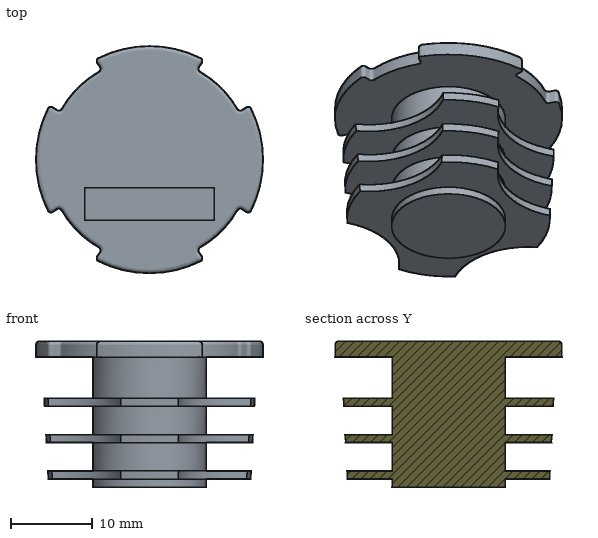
import cadquery as cq
import math

cap_diameter = 28.0
total_height = 18.0

cap_thickness = 2.0
cap_radius = cap_diameter / 2
cap_bottom = total_height - cap_thickness
rim_radius = 0.5
notch_corner_radius = 0.42
notch_floor_radius = 12.5
notch_floor_angle = 34.0
notch_rim_angle = 32.8

pocket_length = 16.0
pocket_width = 4.0
pocket_depth = 0.25
pocket_center_y = -5.5

stem_radius = cap_radius / 2

fin_count = 3
fin_thickness = 1.0
fin_pitch = 4.48
lowest_fin_bottom = 1.0
fin_bottom_radius = 12.5
fin_top_radius = 13.0
fin_stack_height = (fin_count - 1) * fin_pitch + fin_thickness

lobe_half_width = 3.5
scallop_offset = fin_top_radius
scallop_radius = scallop_offset - lobe_half_width

diagonal_angles = [45 + 90 * i for i in range(4)]


def polar(radius, angle):
    """Point at the given radius and angle in degrees."""
    return (radius * math.cos(math.radians(angle)), radius * math.sin(math.radians(angle)))


def make_notch(center_angle):
    """Cutter with a floor concentric with the cap and walls that close in slightly towards the rim."""
    floor_start = center_angle - notch_floor_angle / 2
    floor_end = center_angle + notch_floor_angle / 2
    rim_start = center_angle - notch_rim_angle / 2
    rim_end = center_angle + notch_rim_angle / 2
    clear_radius = cap_diameter
    return (
        cq.Workplane("XY")
        .workplane(offset=cap_bottom)
        .moveTo(*polar(notch_floor_radius, floor_start))
        .threePointArc(polar(notch_floor_radius, center_angle), polar(notch_floor_radius, floor_end))
        .lineTo(*polar(cap_radius, rim_end))
        .lineTo(*polar(clear_radius, rim_end))
        .lineTo(*polar(clear_radius, rim_start))
        .lineTo(*polar(cap_radius, rim_start))
        .close()
        .extrude(cap_thickness)
    )


def make_cap():
    """Notched disc with rounded notch corners, a rounded top rim and a label pocket."""
    cap = cq.Workplane("XY").workplane(offset=cap_bottom).circle(cap_radius).extrude(cap_thickness)
    for angle in diagonal_angles:
        cap = cap.cut(make_notch(angle))
    notch_corners = cap.edges("|Z").filter(lambda edge: abs(edge.Center().y) > rim_radius)
    cap = notch_corners.fillet(notch_corner_radius)
    cap = cap.faces(">Z").edges().fillet(rim_radius)
    pocket = (
        cq.Workplane("XY")
        .workplane(offset=total_height - pocket_depth)
        .center(0, pocket_center_y)
        .rect(pocket_length, pocket_width)
        .extrude(pocket_depth)
    )
    return cap.cut(pocket)


def make_fins():
    """Four-lobed fins sliced from a common cone."""
    cone_base = cq.Vector(0, 0, lowest_fin_bottom)
    cone = cq.Workplane(
        cq.Solid.makeCone(fin_bottom_radius, fin_top_radius, fin_stack_height, pnt=cone_base)
    )
    slices = cq.Workplane("XY")
    for i in range(fin_count):
        fin_bottom = lowest_fin_bottom + i * fin_pitch
        disc = cq.Workplane("XY").workplane(offset=fin_bottom).circle(cap_radius).extrude(fin_thickness)
        slices = slices.add(disc)
    scallops = (
        cq.Workplane("XY")
        .rect(2 * scallop_offset, 2 * scallop_offset, forConstruction=True)
        .vertices()
        .circle(scallop_radius)
        .extrude(cap_bottom)
    )
    return cone.intersect(slices.combine()).cut(scallops)


stem = cq.Workplane("XY").circle(stem_radius).extrude(cap_bottom)
result = stem.union(make_cap()).union(make_fins())